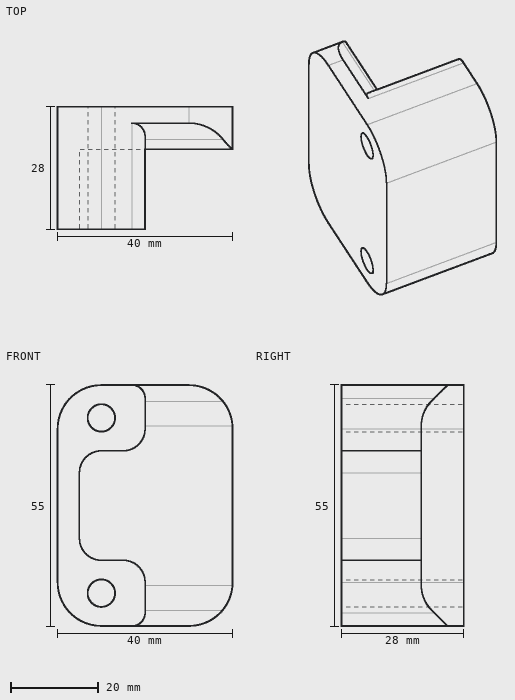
import cadquery as cq

width = 40.0
depth = 28.0
height = 55.0
corner_radius = 10.0

plate_thickness = 9.75
edge_bevel = 6.0
bevel_blend_radius = 8.0

arm_length = width / 2
arm_height = 15.0
web_width = 5.0
arm_inner_radius = 5.0
arm_tip_radius = 3.0

hole_diameter = 6.2
hole_x = corner_radius
hole_spacing = 40.0

mid_z = height / 2
plate_front = depth - plate_thickness


def rounded_outline():
    """Full-depth body with all four corners rounded, seen along Y."""
    body = cq.Workplane("XY").box(width, depth, height, centered=False)
    return body.edges("|Y").fillet(corner_radius)


def make_plate():
    """Plate section with 45 degree bevels blended into its front face."""
    bevel_start = plate_front + edge_bevel
    section = (
        cq.Workplane("YZ")
        .moveTo(depth, 0)
        .lineTo(bevel_start, 0)
        .lineTo(plate_front, edge_bevel)
        .lineTo(plate_front, height - edge_bevel)
        .lineTo(bevel_start, height)
        .lineTo(depth, height)
        .close()
        .extrude(width)
    )
    return section.edges("|X and <Y").fillet(bevel_blend_radius)


def make_block():
    """Two arms joined by a web along the -X side, open towards +X."""
    block = cq.Workplane("XY").box(arm_length, depth, height, centered=False)
    block = block.edges("|Y and >X").fillet(arm_tip_radius)
    recess = (
        cq.Workplane("XY")
        .box(arm_length - web_width, depth, height - 2 * arm_height, centered=False)
        .translate((web_width, 0, arm_height))
    )
    block = block.cut(recess)
    recess_edges = cq.selectors.BoxSelector(
        (0, 0, arm_height - arm_inner_radius),
        (width, depth, height - arm_height + arm_inner_radius),
    )
    return block.edges("|Y").edges(recess_edges).fillet(arm_inner_radius)


def make_holes():
    """Two round cutters running along Y."""
    return (
        cq.Workplane("XZ")
        .pushPoints([(hole_x, mid_z + side * hole_spacing / 2) for side in (-1, 1)])
        .circle(hole_diameter / 2)
        .extrude(-depth)
    )


result = make_plate().union(make_block()).intersect(rounded_outline()).cut(make_holes())